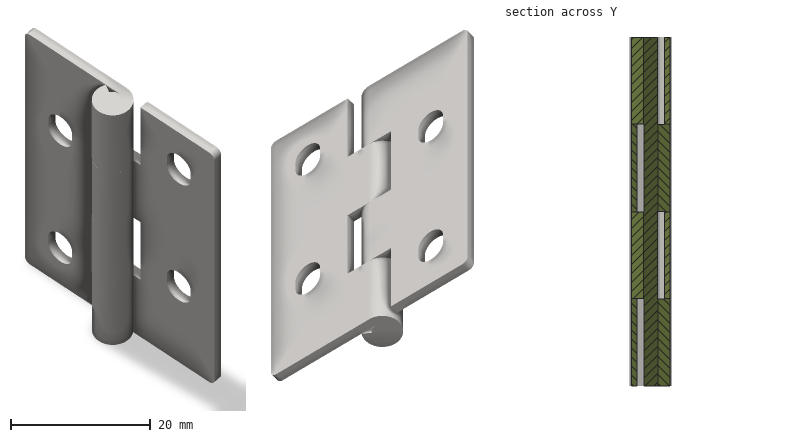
import cadquery as cq
import math

height = 50.0
width = 36.0
thickness = 1.5
pin_radius = 1.5
knuckle_count = 4
notch_reach = 3.95
curl_gap = 0.025
corner_radius = 1.0
slot_width = 4.5
slot_length = 6.0
slot_offset = 11.25
slot_heights = (8.5, -17.0)

half_width = width / 2
knuckle_radius = pin_radius + thickness
knuckle_height = height / knuckle_count
curl_end_angle = math.pi - math.asin((pin_radius - curl_gap) / knuckle_radius)
curl_mid_angle = (math.pi / 2 + curl_end_angle - 2 * math.pi) / 2


def polar(radius, angle):
    return radius * math.cos(angle), radius * math.sin(angle)


def rolled_leaf():
    """Full-height plate on the -X side, its inner edge rolled around the pin."""
    return (
        cq.Workplane("XY")
        .workplane(offset=-height / 2)
        .moveTo(-half_width, knuckle_radius)
        .lineTo(0, knuckle_radius)
        .threePointArc(polar(knuckle_radius, curl_mid_angle), polar(knuckle_radius, curl_end_angle))
        .lineTo(*polar(pin_radius, curl_end_angle))
        .threePointArc(polar(pin_radius, curl_mid_angle), (0, pin_radius))
        .lineTo(-half_width, pin_radius)
        .close()
        .extrude(height)
    )


def knuckle_notches():
    """Clearance for the other leaf's knuckles: every second one from the bottom."""
    notch_width = notch_reach + knuckle_radius
    notches = cq.Workplane("XY")
    for index in range(0, knuckle_count, 2):
        notch = (
            cq.Workplane("XY")
            .box(notch_width, 2 * knuckle_radius, knuckle_height, centered=(False, True, False))
            .translate((-notch_reach, 0, index * knuckle_height - height / 2))
        )
        notches = notches.add(notch)
    return notches.combine()


def screw_slots():
    """Upright round-ended slots, long enough in Y to pass through the plate."""
    return (
        cq.Workplane("XZ")
        .pushPoints([(-slot_offset, z) for z in slot_heights])
        .slot2D(slot_length, slot_width, 90)
        .extrude(knuckle_radius, both=True)
    )


def make_leaf():
    plate = rolled_leaf().faces("<X").edges("|Y").fillet(corner_radius)
    return plate.cut(knuckle_notches()).cut(screw_slots())


def make_pin():
    return cq.Workplane("XY").circle(pin_radius).extrude(height / 2, both=True)


leaves = [make_leaf().rotate((0, 0, 0), (0, 1, 0), turn) for turn in (0, 180)]
pin = make_pin()

result = cq.Compound.makeCompound([*(leaf.solids().val() for leaf in leaves), pin.val()])